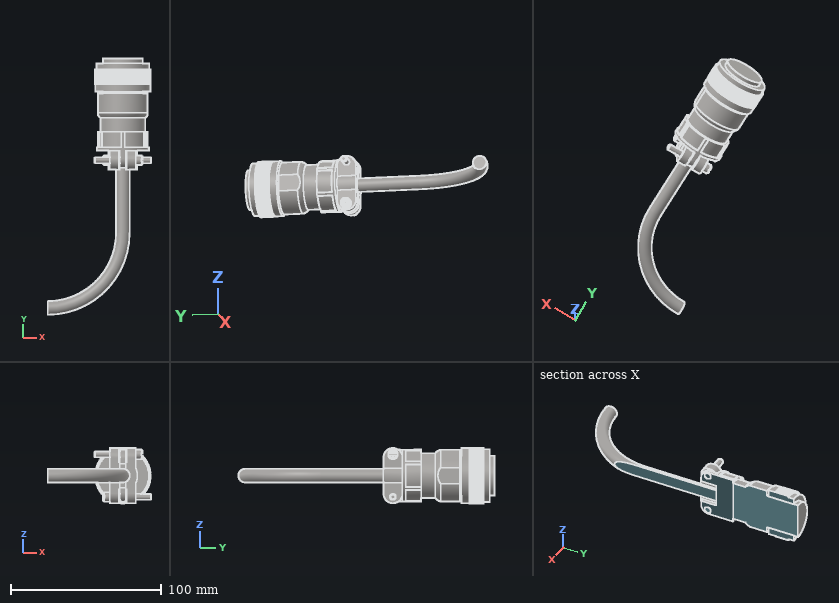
import cadquery as cq
import math


INSERT_RADIUS = 13.3
BODY_FRONT = 23.2
BODY_RADIUS = 17.4
FLAT_DISTANCE = 16.5
SHOULDER_FRONT = 36.0
SHOULDER_BACK = 39.5
SHOULDER_BULGE = 0.3
NECK_RADIUS = 15.0

NUT_FRONT = 3.2
LIP_RADIUS = 17.5
KNURL_FRONT = 7.3
KNURL_BACK = 17.0
KNURL_RADIUS = 18.5
KNURL_DEPTH = 0.7
KNURL_TEETH = 108
NUT_BACK = 22.2
NUT_RADIUS = 18.4

COLLAR_FRONT = 49.0
PANEL_BACK = 59.2
COLLAR_BACK = 61.4
COLLAR_RADIUS = 17.4
PANEL_RADIUS = 16.7
RIB_COUNT = 6
RIB_WIDTH = 2.4
TAB_HALF_WIDTH = 2.0
TAB_INNER_HEIGHT = 8.0
TAB_ROUND = 6.0
TAB_BACK = 72.8

CLAMP_END_RADIUS = 6.3
CLAMP_TOP = 18.4
CLAMP_SIDE = 8.7
BULGE_HEIGHT = 1.0
BULGE_HALF_WIDTH = 4.8
PAD_HALF_HEIGHT = 9.0
CLAMP_GAP = 0.5
CLAMP_CENTRE = COLLAR_BACK + CLAMP_END_RADIUS
CLAMP_BACK = CLAMP_CENTRE + CLAMP_END_RADIUS

SCREW_HEIGHT = 14.2
SHANK_RADIUS = 2.0
SHANK_TIP = 19.0
TIP_CHAMFER = 0.5
HEAD_RADIUS = 3.2
HEAD_LENGTH = 4.6
HEAD_CHAMFER = 0.9
SLOT_WIDTH = 1.2
SLOT_DEPTH = 1.0

TOTAL_LENGTH = 170.5
CABLE_RADIUS = 4.6
BEND_RADIUS = 50.0
BEND_START = TOTAL_LENGTH - CABLE_RADIUS - BEND_RADIUS


def disc(radius, front, back):
    """Cylinder on the connector axis between two distances from the front end."""
    return cq.Workplane("XZ", origin=(0, -front, 0)).circle(radius).extrude(back - front)


def box_between(x_range, y_range, z_range):
    """Axis-aligned box given the limits on each axis."""
    lows, highs = zip(x_range, y_range, z_range)
    size = [high - low for low, high in zip(lows, highs)]
    return cq.Workplane("XY").box(*size, centered=False).translate(lows)


def make_shell():
    shoulder_middle = (
        (BODY_RADIUS + NECK_RADIUS) / 2 + SHOULDER_BULGE,
        -(SHOULDER_FRONT + SHOULDER_BACK) / 2,
    )
    profile = (
        cq.Workplane("XY")
        .lineTo(INSERT_RADIUS, 0)
        .lineTo(INSERT_RADIUS, -BODY_FRONT)
        .lineTo(BODY_RADIUS, -BODY_FRONT)
        .lineTo(BODY_RADIUS, -SHOULDER_FRONT)
        .threePointArc(shoulder_middle, (NECK_RADIUS, -SHOULDER_BACK))
        .lineTo(NECK_RADIUS, -COLLAR_FRONT)
        .lineTo(0, -COLLAR_FRONT)
        .close()
    )
    turned = profile.revolve(360, (0, 0), (0, 1))
    between_flats = box_between(
        (-FLAT_DISTANCE, FLAT_DISTANCE), (-COLLAR_FRONT, 0), (-BODY_RADIUS, BODY_RADIUS)
    )
    return turned.intersect(between_flats)


def knurled_band():
    """Band whose outline is a ring of V-shaped teeth."""
    points = []
    for step in range(2 * KNURL_TEETH):
        angle = math.pi * step / KNURL_TEETH
        radius = KNURL_RADIUS if step % 2 == 0 else KNURL_RADIUS - KNURL_DEPTH
        points.append((radius * math.cos(angle), radius * math.sin(angle)))
    band = cq.Workplane("XZ", origin=(0, -KNURL_FRONT, 0))
    return band.polyline(points).close().extrude(KNURL_BACK - KNURL_FRONT)


def make_coupling_nut():
    nut = disc(LIP_RADIUS, NUT_FRONT, KNURL_FRONT)
    nut = nut.union(knurled_band())
    nut = nut.union(disc(NUT_RADIUS, KNURL_BACK, NUT_BACK))
    return nut.cut(disc(INSERT_RADIUS, NUT_FRONT, NUT_BACK))


def collar_ribs():
    """Ribs at the flange radius that separate the recessed panels."""
    ribs = disc(PANEL_RADIUS, COLLAR_FRONT, PANEL_BACK)
    for index in range(RIB_COUNT // 2):
        bar = box_between(
            (-RIB_WIDTH / 2, RIB_WIDTH / 2),
            (-PANEL_BACK, -COLLAR_FRONT),
            (-2 * COLLAR_RADIUS, 2 * COLLAR_RADIUS),
        )
        ribs = ribs.union(bar.rotate((0, 0, 0), (0, 1, 0), index * 360 / RIB_COUNT))
    return ribs.intersect(disc(COLLAR_RADIUS, COLLAR_FRONT, PANEL_BACK))


def make_tab():
    """Upper tab behind the flange, with its outer rear corner rounded."""
    tab = box_between(
        (-TAB_HALF_WIDTH, TAB_HALF_WIDTH),
        (-TAB_BACK, -COLLAR_BACK),
        (TAB_INNER_HEIGHT, COLLAR_RADIUS),
    )
    tab = tab.edges(">Z and <Y").fillet(TAB_ROUND)
    return tab.intersect(disc(COLLAR_RADIUS, COLLAR_BACK, TAB_BACK))


def make_back_nut():
    nut = collar_ribs().union(disc(COLLAR_RADIUS, PANEL_BACK, COLLAR_BACK))
    tab = make_tab()
    nut = nut.union(tab).union(tab.mirror("XY"))
    return nut.cut(screw_holes())


def screw_holes():
    """Holes along X for the shanks of both screws."""
    holes = cq.Workplane("YZ", origin=(-CLAMP_SIDE, -CLAMP_CENTRE, 0))
    holes = holes.pushPoints([(0, SCREW_HEIGHT), (0, -SCREW_HEIGHT)])
    return holes.circle(SHANK_RADIUS).extrude(2 * CLAMP_SIDE)


def make_clamp_half(side):
    """Clamp half on the +X (side = 1) or -X (side = -1) side of the tabs."""
    inner = TAB_HALF_WIDTH
    plate = (
        cq.Workplane("YZ", origin=(inner, -CLAMP_CENTRE, 0))
        .slot2D(2 * CLAMP_TOP, 2 * CLAMP_END_RADIUS, 90)
        .extrude(CLAMP_SIDE - inner)
    )
    bulge = (
        cq.Workplane("XZ", origin=(0, -COLLAR_BACK, 0))
        .moveTo(CLAMP_SIDE, -BULGE_HALF_WIDTH)
        .threePointArc((CLAMP_SIDE + BULGE_HEIGHT, 0), (CLAMP_SIDE, BULGE_HALF_WIDTH))
        .close()
        .extrude(CLAMP_BACK - COLLAR_BACK)
    )
    clearance = box_between(
        (inner, inner + CLAMP_GAP), (-CLAMP_BACK, -COLLAR_BACK), (PAD_HALF_HEIGHT, CLAMP_TOP)
    )
    half = plate.union(bulge).cut(clearance).cut(clearance.mirror("XY"))
    half = half.cut(screw_holes()).cut(disc(CABLE_RADIUS, COLLAR_BACK, CLAMP_BACK))
    return half if side > 0 else half.mirror("YZ")


def make_screw(turn):
    """Screw through the clamp; a half turn about Y puts it below with its head on the -X side."""
    shank = cq.Workplane("YZ", origin=(-SHANK_TIP, 0, 0)).circle(SHANK_RADIUS)
    shank = shank.extrude(SHANK_TIP + CLAMP_SIDE).faces("<X").chamfer(TIP_CHAMFER)
    head = cq.Workplane("YZ", origin=(CLAMP_SIDE, 0, 0)).circle(HEAD_RADIUS)
    head = head.extrude(HEAD_LENGTH).faces(">X").chamfer(HEAD_CHAMFER)
    slots = (
        cq.Workplane("YZ", origin=(CLAMP_SIDE + HEAD_LENGTH - SLOT_DEPTH, 0, 0))
        .rect(SLOT_WIDTH, 2 * HEAD_RADIUS)
        .extrude(SLOT_DEPTH)
    )
    slots = slots.union(slots.rotate((0, 0, 0), (1, 0, 0), 90))
    screw = shank.union(head).cut(slots).translate((0, -CLAMP_CENTRE, SCREW_HEIGHT))
    return screw.rotate((0, 0, 0), (0, 1, 0), turn)


def make_cable():
    path = (
        cq.Workplane("XY")
        .moveTo(0, -COLLAR_BACK)
        .lineTo(0, -BEND_START)
        .radiusArc((-BEND_RADIUS, -BEND_START - BEND_RADIUS), BEND_RADIUS)
    )
    section = cq.Workplane("XZ", origin=(0, -COLLAR_BACK, 0)).circle(CABLE_RADIUS)
    return section.sweep(path)


shell = make_shell()
coupling_nut = make_coupling_nut()
back_nut = make_back_nut()
clamp_halves = [make_clamp_half(side) for side in (1, -1)]
screws = [make_screw(turn) for turn in (0, 180)]
cable = make_cable()

result = cq.Compound.makeCompound(
    [
        shell.val(),
        coupling_nut.val(),
        back_nut.val(),
        *[half.val() for half in clamp_halves],
        *[screw.val() for screw in screws],
        cable.val(),
    ]
)